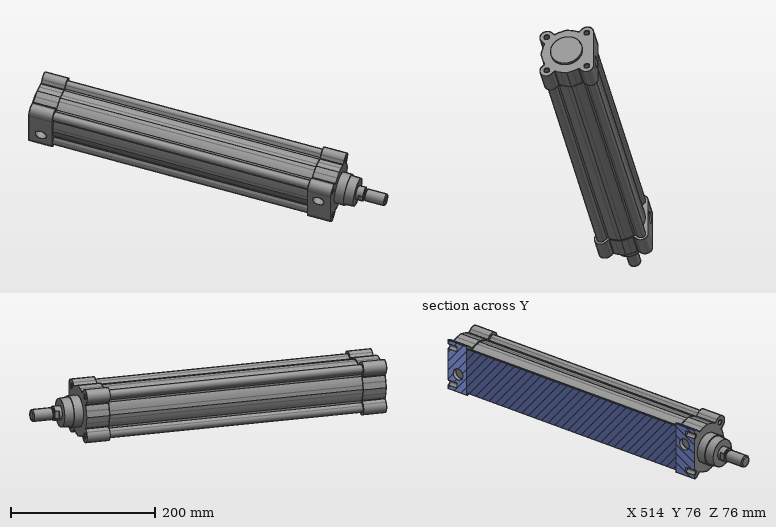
import cadquery as cq
import math

TOTAL_LENGTH = 514.0
SPIGOT_LENGTH = 3.5
CAP_LENGTH = 34.0
FRONT_CAP_END = 445.0
COLLAR_END = 458.5
NOSE_END = 472.0
REAR_CAP_END = SPIGOT_LENGTH + CAP_LENGTH
FRONT_CAP_START = FRONT_CAP_END - CAP_LENGTH

SIDE_COUNT = 4

CAP_SIDE = 76.0
BOLT_OFFSET = 28.5
CAP_LOBE_RADIUS = CAP_SIDE / 2 - BOLT_OFFSET
CAP_BARREL_RADIUS = 35.5
CAP_RIDGE_HALF_WIDTH = 8.5
CAP_BARREL_HALF_WIDTH = 16.5

SPIGOT_DIAMETER = 44.5
NOSE_ROOT_DIAMETER = 42.0
NOSE_TIP_DIAMETER = 40.0
BOLT_HOLE_DIAMETER = 6.5
BOLT_HOLE_MOUTH = 8.0
BOLT_HOLE_DEPTH = 15.5
PORT_DIAMETER = 16.5
PORT_DEPTH = 15.5
PORT_INSET = 18.0
PORT_OFFSET = 10.5

TUBE_LOBE_RADIUS = 6.0
TUBE_BARREL_RADIUS = 34.0
TUBE_RIDGE_HALF_WIDTH = 5.5
TUBE_BARREL_HALF_WIDTH = 17.5

ROD_DIAMETER = 20.0
ROD_BODY_END = 482.0
FLATS_START = 476.0
FLATS_WIDTH = 17.0
UNDERCUT_END = 483.5
UNDERCUT_DIAMETER = 15.0
THREAD_DIAMETER = 17.0
THREAD_CHAMFER = 1.5


def disc(start, end, diameter):
    """Round bar along X between two stations."""
    return cq.Workplane("YZ", origin=(start, 0, 0)).circle(diameter / 2).extrude(end - start)


def quarter_turned(point, turns):
    """Section point turned clockwise about the axis by a number of quarter turns."""
    across, out = point
    for _ in range(turns):
        across, out = out, -across
    return across, out


def lobed_prism(start, end, lobe_radius, barrel_radius, ridge_half_width, barrel_half_width):
    """Bar whose section is a barrel with a ridge on each side and a lobe on each corner.

    Each side has a ridge of two planes tangent to the barrel arc, then the arc itself,
    then a flat shoulder, then a 45 degree neck wall that runs tangent into the lobe.
    """
    ridge_height = barrel_radius**2 / math.sqrt(barrel_radius**2 - ridge_half_width**2)
    shoulder_height = math.sqrt(barrel_radius**2 - barrel_half_width**2)
    lobe_reach = lobe_radius / math.sqrt(2)
    arc_end_angle = math.asin(barrel_half_width / barrel_radius)
    arc_start_angle = math.asin(ridge_half_width / barrel_radius)
    arc_mid_angle = (arc_start_angle + arc_end_angle) / 2

    ridge = (0, ridge_height)
    arc_start = (ridge_half_width, barrel_radius * math.cos(arc_start_angle))
    arc_mid = (barrel_radius * math.sin(arc_mid_angle), barrel_radius * math.cos(arc_mid_angle))
    arc_end = (barrel_half_width, shoulder_height)
    shoulder_end = (shoulder_height - 2 * lobe_reach, shoulder_height)
    lobe_start = (BOLT_OFFSET - lobe_reach, BOLT_OFFSET + lobe_reach)
    lobe_tip = (BOLT_OFFSET + lobe_reach, BOLT_OFFSET + lobe_reach)

    section = cq.Workplane("YZ", origin=(start, 0, 0)).moveTo(*ridge)
    for quarter in range(SIDE_COUNT):

        def place(point):
            return quarter_turned(point, quarter)

        def place_mirrored(point):
            return quarter_turned((point[1], point[0]), quarter)

        section = section.lineTo(*place(arc_start)).threePointArc(place(arc_mid), place(arc_end))
        section = section.lineTo(*place(shoulder_end))
        section = section.lineTo(*place(lobe_start))
        section = section.threePointArc(place(lobe_tip), place_mirrored(lobe_start))
        section = section.lineTo(*place_mirrored(shoulder_end))
        section = section.lineTo(*place_mirrored(arc_end))
        section = section.threePointArc(place_mirrored(arc_mid), place_mirrored(arc_start))
        if quarter < SIDE_COUNT - 1:
            section = section.lineTo(*place_mirrored(ridge))
    return section.close().extrude(end - start)


def port_face_block(start, end):
    """Block that fills one side of a cap out to its flat port face at -Y."""
    return (
        cq.Workplane("XY")
        .box(end - start, CAP_SIDE / 2, 2 * BOLT_OFFSET, centered=(False, False, True))
        .translate((start, -CAP_SIDE / 2, 0))
    )


def port(centre_x, height):
    """Blind round port drilled into a cap's -Y face."""
    return (
        cq.Workplane("XZ", origin=(centre_x, -CAP_SIDE / 2, height))
        .circle(PORT_DIAMETER / 2)
        .extrude(-PORT_DEPTH)
    )


def cap_block(start, port_x, port_height):
    """Lobed cap body with its flat port face and port."""
    end = start + CAP_LENGTH
    block = lobed_prism(
        start,
        end,
        CAP_LOBE_RADIUS,
        CAP_BARREL_RADIUS,
        CAP_RIDGE_HALF_WIDTH,
        CAP_BARREL_HALF_WIDTH,
    )
    return block.union(port_face_block(start, end)).cut(port(port_x, port_height))


def drill_bolt_holes(cap, outer_face, inward):
    """Drill a countersunk blind hole into each lobe; inward is +1 or -1 along X."""
    mouth_radius = BOLT_HOLE_MOUTH / 2
    hole_radius = BOLT_HOLE_DIAMETER / 2
    countersink = mouth_radius - hole_radius
    profile = [
        (0, 0),
        (0, mouth_radius),
        (inward * countersink, hole_radius),
        (inward * BOLT_HOLE_DEPTH, hole_radius),
        (inward * BOLT_HOLE_DEPTH, 0),
    ]
    cutter = cq.Workplane("XY").polyline(profile).close().revolve(360, (0, 0, 0), (1, 0, 0))
    for y in (-BOLT_OFFSET, BOLT_OFFSET):
        for z in (-BOLT_OFFSET, BOLT_OFFSET):
            cap = cap.cut(cutter.translate((outer_face, y, z)))
    return cap


def make_rear_cap():
    spigot = disc(0, SPIGOT_LENGTH, SPIGOT_DIAMETER)
    cap = cap_block(SPIGOT_LENGTH, SPIGOT_LENGTH + PORT_INSET, -PORT_OFFSET).union(spigot)
    return drill_bolt_holes(cap, SPIGOT_LENGTH, 1)


def nose():
    """Tapered nose in front of the collar."""
    return (
        cq.Workplane("YZ", origin=(COLLAR_END, 0, 0))
        .circle(NOSE_ROOT_DIAMETER / 2)
        .workplane(offset=NOSE_END - COLLAR_END)
        .circle(NOSE_TIP_DIAMETER / 2)
        .loft(ruled=True)
    )


def make_front_cap():
    collar = disc(FRONT_CAP_END, COLLAR_END, SPIGOT_DIAMETER)
    cap = cap_block(FRONT_CAP_START, FRONT_CAP_END - PORT_INSET, PORT_OFFSET).union(collar).union(nose())
    return drill_bolt_holes(cap, FRONT_CAP_END, -1)


def make_tube():
    return lobed_prism(
        REAR_CAP_END,
        FRONT_CAP_START,
        TUBE_LOBE_RADIUS,
        TUBE_BARREL_RADIUS,
        TUBE_RIDGE_HALF_WIDTH,
        TUBE_BARREL_HALF_WIDTH,
    )


def make_rod():
    """Rod standing on the nose: body with wrench flats, undercut and chamfered thread."""
    body = disc(NOSE_END, ROD_BODY_END, ROD_DIAMETER)
    flats_length = ROD_BODY_END - FLATS_START
    flats_zone = cq.Workplane("XY").box(flats_length, ROD_DIAMETER, ROD_DIAMETER)
    kept_core = cq.Workplane("XY").box(flats_length, FLATS_WIDTH, ROD_DIAMETER)
    body = body.cut(flats_zone.cut(kept_core).translate((FLATS_START + flats_length / 2, 0, 0)))
    undercut = disc(ROD_BODY_END, UNDERCUT_END, UNDERCUT_DIAMETER)
    thread = disc(UNDERCUT_END, TOTAL_LENGTH, THREAD_DIAMETER).faces("<X or >X").chamfer(THREAD_CHAMFER)
    return body.union(undercut).union(thread)


rear_cap = make_rear_cap()
front_cap = make_front_cap()
tube = make_tube()
rod = make_rod()

result = cq.Compound.makeCompound([rear_cap.val(), front_cap.val(), tube.val(), rod.val()])